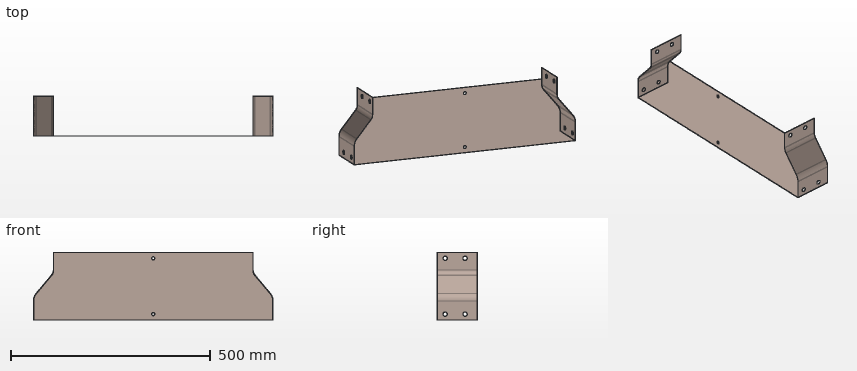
import cadquery as cq
import math

length = 600.0
depth = 100.0
height = 170.0
sheet = 1.0

step_width = 50.0
slope_angle = math.radians(40)
upper_bend_z = 118.0
lower_bend_z = upper_bend_z - step_width / math.tan(slope_angle)
upper_bend_radius = 20.0
lower_bend_radius = 29.0

web_hole_diameter = 7.0
flange_hole_diameter = 10.0
hole_edge_gap = 15.0
flange_hole_front_gap = 20.0
flange_hole_spacing = 50.0

half_length = length / 2
half_top = half_length - step_width
hole_heights = (hole_edge_gap, height - hole_edge_gap)


def bent_outline_body():
    """Solid block with the outer shape of the tray: front at y = 0, bottom at z = 0."""
    outline = [
        (-half_length, 0),
        (half_length, 0),
        (half_length, lower_bend_z),
        (half_top, upper_bend_z),
        (half_top, height),
        (-half_top, height),
        (-half_top, upper_bend_z),
        (-half_length, lower_bend_z),
    ]
    block = cq.Workplane("XZ").polyline(outline).close().extrude(-depth)

    def round_bends(body, bend_x, bend_z, radius):
        for x in (-bend_x, bend_x):
            edge = cq.selectors.NearestToPointSelector((x, depth / 2, bend_z))
            body = body.edges("|Y").edges(edge).fillet(radius)
        return body

    block = round_bends(block, half_length, lower_bend_z, lower_bend_radius)
    return round_bends(block, half_top, upper_bend_z, upper_bend_radius)


def hollow(block):
    """Leave only the front web and the two bent side flanges."""
    return block.faces(">Y or >Z or <Z").shell(-sheet)


def web_holes():
    """Two holes on the centre line of the front web."""
    centres = [(0, z) for z in hole_heights]
    return cq.Workplane("XZ").pushPoints(centres).circle(web_hole_diameter / 2).extrude(-depth)


def flange_holes():
    """Pairs of holes near the top and bottom of both flanges."""
    back_y = flange_hole_front_gap + flange_hole_spacing
    centres = [(y, z) for y in (flange_hole_front_gap, back_y) for z in hole_heights]
    drill = cq.Workplane("YZ").pushPoints(centres).circle(flange_hole_diameter / 2)
    return drill.extrude(half_length, both=True)


result = hollow(bent_outline_body()).cut(web_holes()).cut(flange_holes())